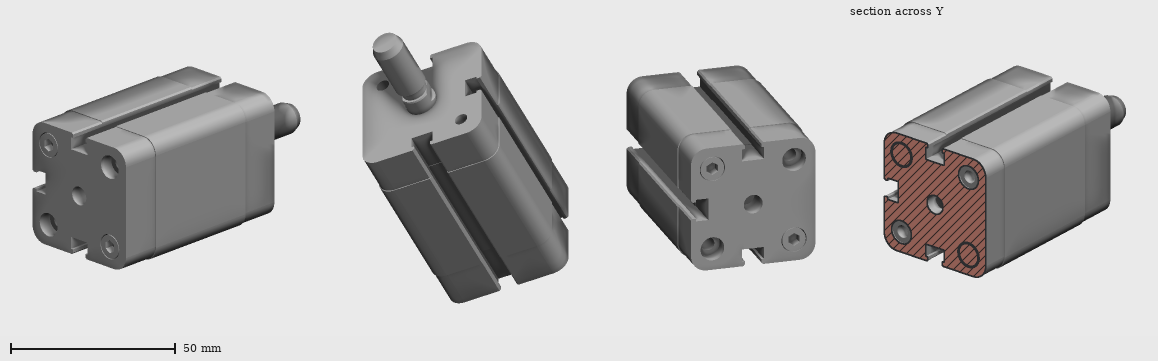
import cadquery as cq
import math


TOTAL_LENGTH = 92.0
ROD_LENGTH = 27.5
BODY_LENGTH = TOTAL_LENGTH - ROD_LENGTH
CAP_LENGTH = 12.75
BARREL_LENGTH = BODY_LENGTH - 2 * CAP_LENGTH
BARREL_WIDTH = 40.1
CAP_WIDTH = 39.6
CORNER_RADIUS = 5.0

SLOT_NECK_WIDTH = 5.3
SLOT_INNER_WIDTH = 7.0
SLOT_DEPTH = 5.5
SLOT_LIP_Z = 18.2
SLOT_EDGE_CHAMFER = 0.5
SLOT_ANGLES = (0, 90, 180)

HOLE_OFFSET = 13.0
THROUGH_DIAMETER = 4.13
COUNTERBORE_DIAMETER = 7.5
COUNTERBORE_DEPTH = 4.5
CENTRE_HOLE_DIAMETER = 6.0
CENTRE_HOLE_DEPTH = 8.0
SCREW_POCKET_DIAMETER = 8.0
SCREW_HEAD_DIAMETER = 7.5
SCREW_POCKET_DEPTH = 4.0
HEX_ACROSS_FLATS = 3.6
HEX_DEPTH = 3.0

ROD_DIAMETER = 10.0
NECK_DIAMETER = 8.0
TIP_DIAMETER = 8.0
TIP_CHAMFER_LENGTH = 2.5
THREAD_LENGTH = 19.0
THREAD_END_TAPER = 0.5
SHANK_LENGTH = 5.5
SHANK_CHAMFER_LENGTH = 0.5
SHANK_CHAMFER_DEPTH = 0.2
FLATS_WIDTH = 8.0
FLATS_START = 1.95
FLATS_RUNOUT = 0.85


def cross_section(y):
    """Workplane across the axis at the given Y, extruding toward +Y; local x is -X."""
    return cq.Workplane("XZ", origin=(0, y, 0)).transformed(rotate=(0, 180, 0))


def t_slot(width, y, length):
    """Cutter for the top T-slot of a body section with the given outer width."""
    top = width / 2
    neck = SLOT_NECK_WIDTH / 2
    mouth = neck + SLOT_EDGE_CHAMFER
    inner = SLOT_INNER_WIDTH / 2
    floor = top - SLOT_DEPTH
    right_side = [
        (mouth, top),
        (neck, top - SLOT_EDGE_CHAMFER),
        (neck, SLOT_LIP_Z),
        (inner, SLOT_LIP_Z),
        (inner, floor),
    ]
    left_side = [(-x, z) for x, z in reversed(right_side)]
    return cross_section(y).polyline(right_side + left_side).close().extrude(length)


def body_section(width, y, length):
    """Rounded square block with a T-slot in its top, -X and bottom sides."""
    block = cross_section(y).rect(width, width).extrude(length).edges("|Y").fillet(CORNER_RADIUS)
    slot = t_slot(width, y, length)
    for angle in SLOT_ANGLES:
        block = block.cut(slot.rotate((0, 0, 0), (0, -1, 0), angle))
    return block


def round_hole(x, z, diameter, depth):
    """Cylinder reaching from the front face into the body."""
    return cross_section(0).center(-x, z).circle(diameter / 2).extrude(depth)


def mounting_hole(x, z):
    """Cutter for a counterbored hole through the whole body."""
    bore = round_hole(x, z, THROUGH_DIAMETER, BODY_LENGTH)
    return bore.union(round_hole(x, z, COUNTERBORE_DIAMETER, COUNTERBORE_DEPTH))


def screw_recess(x, z):
    """Cutter that leaves a flush socket screw head inside a clearance gap."""
    gap = round_hole(x, z, SCREW_POCKET_DIAMETER, SCREW_POCKET_DEPTH)
    gap = gap.cut(round_hole(x, z, SCREW_HEAD_DIAMETER, SCREW_POCKET_DEPTH))
    hex_corner_diameter = HEX_ACROSS_FLATS / math.cos(math.pi / 6)
    socket = cross_section(0).center(-x, z).transformed(rotate=(0, 0, 90))
    socket = socket.polygon(6, hex_corner_diameter).extrude(HEX_DEPTH)
    return gap.union(socket)


def wrench_flat():
    """Cutter for the +X wrench flat, with a slanted run-out toward the body."""
    flat = FLATS_WIDTH / 2
    outer = ROD_DIAMETER / 2
    runout_y = BODY_LENGTH + FLATS_START
    end_y = BODY_LENGTH + SHANK_LENGTH
    outline = [
        (flat, end_y),
        (flat, runout_y),
        (outer, runout_y - FLATS_RUNOUT),
        (outer, end_y),
    ]
    return cq.Workplane("XY").polyline(outline).close().extrude(outer, both=True)


def piston_rod():
    """Turned rod with shank, neck, threaded end and two wrench flats."""
    radius = ROD_DIAMETER / 2
    neck = NECK_DIAMETER / 2
    shank_end = BODY_LENGTH + SHANK_LENGTH
    thread_start = TOTAL_LENGTH - THREAD_LENGTH
    profile = [
        (0, BODY_LENGTH),
        (radius, BODY_LENGTH),
        (radius, shank_end - SHANK_CHAMFER_LENGTH),
        (radius - SHANK_CHAMFER_DEPTH, shank_end),
        (neck, shank_end),
        (neck, thread_start - THREAD_END_TAPER),
        (radius, thread_start),
        (radius, TOTAL_LENGTH - TIP_CHAMFER_LENGTH),
        (TIP_DIAMETER / 2, TOTAL_LENGTH),
        (0, TOTAL_LENGTH),
    ]
    rod = cq.Workplane("XY").polyline(profile).close().revolve(360, (0, 0, 0), (0, 1, 0))
    flat = wrench_flat()
    return rod.cut(flat).cut(flat.mirror("YZ"))


body = body_section(CAP_WIDTH, 0, CAP_LENGTH)
body = body.union(body_section(BARREL_WIDTH, CAP_LENGTH, BARREL_LENGTH))
body = body.union(body_section(CAP_WIDTH, CAP_LENGTH + BARREL_LENGTH, CAP_LENGTH))

for side in (-1, 1):
    offset = side * HOLE_OFFSET
    body = body.cut(mounting_hole(offset, offset))
    body = body.cut(screw_recess(offset, -offset))

body = body.cut(round_hole(0, 0, CENTRE_HOLE_DIAMETER, CENTRE_HOLE_DEPTH))

result = body.union(piston_rod())